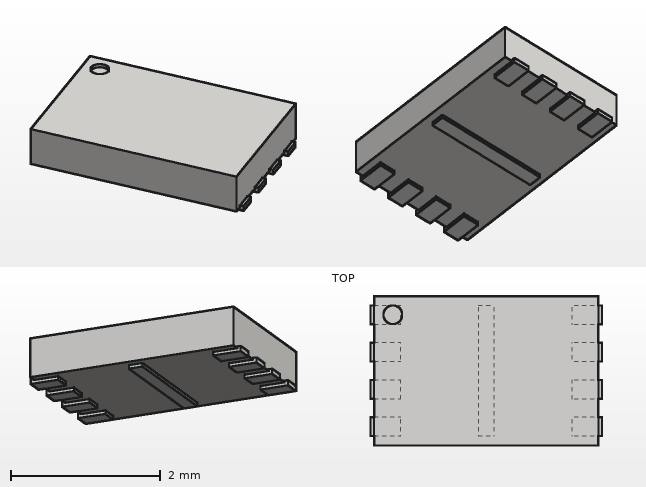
import cadquery as cq

overall_length = 3.1
overall_width = 2.0
overall_height = 0.6

leads_per_row = 4
lead_pitch = 0.5
lead_length = 0.405
lead_width = 0.255
lead_thickness = 0.075
lead_overhang = 0.05

standoff = 0.05
housing_length = overall_length - 2 * lead_overhang
housing_height = overall_height - standoff

mark_diameter = 0.25
mark_depth = 0.05
mark_inset = 0.25
mark_x = -housing_length / 2 + mark_inset
mark_y = overall_width / 2 - mark_inset

pad_length = 0.2
row_span = (leads_per_row - 1) * lead_pitch + lead_width


def block(length, width, height, x=0, y=0, bottom=0):
    """Box centred on (x, y) that stands on the level 'bottom'."""
    return (
        cq.Workplane("XY")
        .box(length, width, height, centered=(True, True, False))
        .translate((x, y, bottom))
    )


def make_lead(side, index):
    """Lead at one end of the housing: side is -1 or +1, index counts along Y."""
    x = side * (overall_length - lead_length) / 2
    y = (index - (leads_per_row - 1) / 2) * lead_pitch
    return block(lead_length, lead_width, lead_thickness, x, y)


def make_centre_pad():
    """Pad that fills the standoff gap below the housing."""
    return block(pad_length, row_span, standoff)


def make_housing(leads):
    """Rectangular housing with the pin-one mark and a recess for each lead."""
    housing = block(housing_length, overall_width, housing_height, bottom=standoff)
    mark = (
        cq.Workplane("XY", origin=(mark_x, mark_y, overall_height - mark_depth))
        .circle(mark_diameter / 2)
        .extrude(mark_depth)
    )
    housing = housing.cut(mark)
    for lead in leads:
        housing = housing.cut(lead)
    return housing


leads = [make_lead(side, index) for side in (-1, 1) for index in range(leads_per_row)]
centre_pad = make_centre_pad()
housing = make_housing(leads)

result = cq.Compound.makeCompound(
    [housing.val(), centre_pad.val(), *[lead.val() for lead in leads]]
)